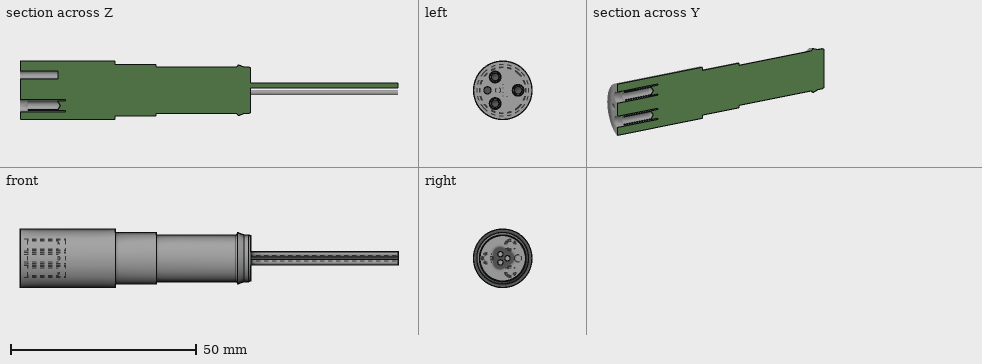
import cadquery as cq
import math

total_length = 102.2
head_diameter = 15.8
head_end = 25.7
neck_diameter = 14.0
neck_end = 36.8
barrel_diameter = 12.7
barrel_end = 62.3
rear_chamfer_length = 0.6
rear_chamfer_depth = 0.2

lip_diameter = neck_diameter
lip_front = 58.7
lip_foot_radius = 0.5
lip_end = 60.5

contact_count = 3
contact_circle_diameter = 8.3
first_contact_angle = 60.0
socket_diameter = 3.2
socket_depth = 12.3
sleeve_diameter = 2.8
sleeve_recess = 2.0
bore_diameter = 2.0
bore_end = 10.2
drill_tip_angle = 118.0

locating_hole_diameter = 1.9
locating_hole_depth = 10.2

wire_diameter = 1.4
wire_circle_diameter = 2.6
first_wire_angle = 0.0
wire_embedding = 1.0


def ring_points(diameter, first_angle):
    """Points (Y, Z) spread evenly around the X axis, one per contact."""
    angles = [math.radians(first_angle + i * 360 / contact_count) for i in range(contact_count)]
    return [(diameter / 2 * math.cos(angle), diameter / 2 * math.sin(angle)) for angle in angles]


def cylinders(diameter, start, end, centers):
    """Equal cylinders along X between two stations, at the given (Y, Z) centers."""
    return (
        cq.Workplane("YZ", origin=(start, 0, 0))
        .pushPoints(centers)
        .circle(diameter / 2)
        .extrude(end - start)
    )


def revolve_about_x(profile):
    return profile.close().revolve(360, (0, 0), (1, 0))


def make_body():
    head_radius = head_diameter / 2
    neck_radius = neck_diameter / 2
    barrel_radius = barrel_diameter / 2
    foot_start = (lip_front - lip_foot_radius, barrel_radius)
    foot_end = (lip_front, barrel_radius + lip_foot_radius)
    foot_mid = (
        foot_start[0] + lip_foot_radius * math.sin(math.pi / 4),
        foot_end[1] - lip_foot_radius * math.cos(math.pi / 4),
    )
    profile = (
        cq.Workplane("XY")
        .lineTo(0, head_radius)
        .lineTo(head_end, head_radius)
        .lineTo(head_end, neck_radius)
        .lineTo(neck_end, neck_radius)
        .lineTo(neck_end, barrel_radius)
        .lineTo(*foot_start)
        .threePointArc(foot_mid, foot_end)
        .lineTo(lip_front, lip_diameter / 2)
        .lineTo(lip_end, barrel_radius)
        .lineTo(barrel_end - rear_chamfer_length, barrel_radius)
        .lineTo(barrel_end, barrel_radius - rear_chamfer_depth)
        .lineTo(barrel_end, 0)
    )
    return revolve_about_x(profile)


def make_drilled_bore():
    """Drill shape on the X axis: straight bore with a conical bottom."""
    bore_radius = bore_diameter / 2
    tip_length = bore_radius / math.tan(math.radians(drill_tip_angle / 2))
    profile = (
        cq.Workplane("XY")
        .lineTo(0, bore_radius)
        .lineTo(bore_end, bore_radius)
        .lineTo(bore_end + tip_length, 0)
    )
    return revolve_about_x(profile)


def cut_sockets(body):
    centers = ring_points(contact_circle_diameter, first_contact_angle)
    body = body.cut(cylinders(socket_diameter, 0, socket_depth, centers))
    body = body.union(cylinders(sleeve_diameter, sleeve_recess, socket_depth, centers))
    bore = make_drilled_bore()
    for y, z in centers:
        body = body.cut(bore.translate((0, y, z)))
    return body


def cut_locating_hole(body):
    center = (contact_circle_diameter / 2, 0)
    return body.cut(cylinders(locating_hole_diameter, 0, locating_hole_depth, [center]))


def add_wires(body):
    centers = ring_points(wire_circle_diameter, first_wire_angle)
    return body.union(cylinders(wire_diameter, barrel_end - wire_embedding, total_length, centers))


result = make_body()
result = cut_sockets(result)
result = cut_locating_hole(result)
result = add_wires(result)